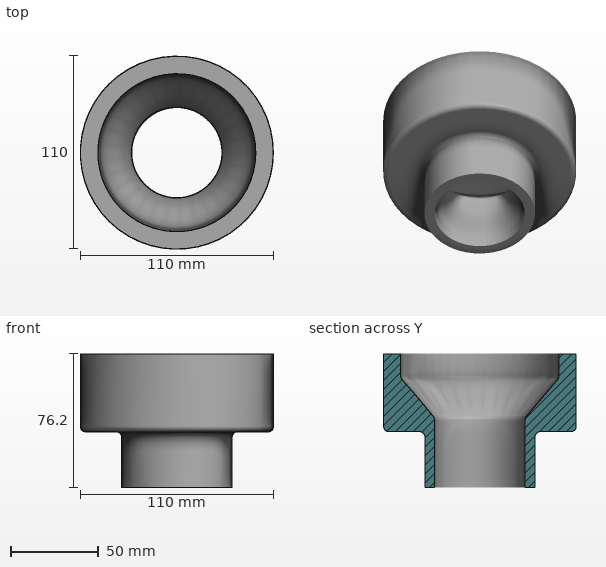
import cadquery as cq

total_height = 76.2
head_diameter = 109.98
neck_diameter = 62.99
neck_height = 31.75
socket_diameter = 89.97
bore_diameter = 51.41
cone_top_depth = 13.75
cone_bottom_depth = 36.5
blend_radius = 3.0

head_radius = head_diameter / 2
neck_radius = neck_diameter / 2
socket_radius = socket_diameter / 2
bore_radius = bore_diameter / 2
cone_top_z = total_height - cone_top_depth
cone_bottom_z = total_height - cone_bottom_depth


def revolve_profile(points):
    """Revolve a closed (radius, z) outline about the Z axis."""
    return cq.Workplane("XZ").polyline(points).close().revolve(360, (0, 0, 0), (0, 1, 0))


def circles_at(height):
    """Select the circular edges whose plane is at the given height."""
    margin = 0.1
    reach = head_diameter
    return cq.selectors.BoxSelector(
        (-reach, -reach, height - margin), (reach, reach, height + margin)
    )


def make_body():
    """Stepped outside, with a conical reduction between the socket and the bore."""
    return revolve_profile([
        (bore_radius, 0),
        (neck_radius, 0),
        (neck_radius, neck_height),
        (head_radius, neck_height),
        (head_radius, total_height),
        (socket_radius, total_height),
        (socket_radius, cone_top_z),
        (bore_radius, cone_bottom_z),
    ])


def round_steps(body):
    """Round the head's lower rim, the neck corner and both ends of the cone."""
    for height in (neck_height, cone_top_z, cone_bottom_z):
        body = body.edges("%CIRCLE").edges(circles_at(height)).fillet(blend_radius)
    return body


result = round_steps(make_body())